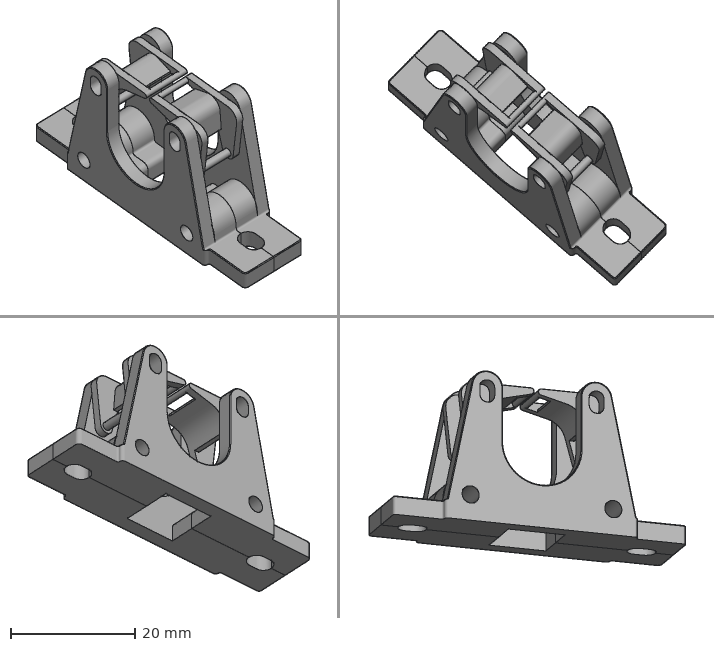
import cadquery as cq
import math

LENGTH = 49.8
WIDTH = 14.55
WALL = 2.6
FOOT_HALF = 16.45
FOOT_CORNER = 0.6
FOOT_FILLET = 0.4
EDGE_CHAMFER = 0.15
TOUCH_TOLERANCE = 4.98e-05

TAB_WIDTH = 12.6
TAB_HEIGHT = 3.15
FRONT_TAB_CORNER = 0.75
BACK_TAB_CORNER = 0.5
TAB_ROOT_FILLET = 0.35
TAB_SLOT_X = 19.5
TAB_SLOT_LENGTH = 4.8
TAB_SLOT_WIDTH = 3.35

EAR_X = 9.3
EAR_Z = 22.75
EAR_RADIUS = 2.65
EAR_SLOT_Z = 22.0
EAR_SLOT_WIDTH = 2.55
EAR_SLOT_HEIGHT = 3.75
THROAT_Z = 13.85

BOSS_X = 12.15
BOSS_Z = 4.35
BOSS_RADIUS = 3.8
BOSS_HOLE_DIAMETER = 2.9
LEDGE_Z = 3.7
LEDGE_FILLET = 0.5
LEDGE_NOSE_X = 5.95
LEDGE_NOSE_RADIUS = 1.15

LATCH_WIDTH = 8.95
LATCH_PLATE = 1.35
LATCH_TOP_Z = 24.2
HEEL_X = 10.65
HEEL_RADIUS = 2.1
TIP_X = 0.9
TIP_ROD_DIAMETER = 1.05
TAIL_Z = 14.5
TAIL_RADIUS = 1.25
TAIL_ROD_DIAMETER = 1.45
CROOK_X = 4.2
CROOK_Z = 18.2
CROOK_RADIUS = 4.0

BLOCK_BACK_X = 9.1
BLOCK_BOTTOM_Z = 18.4
BLOCK_CREST_X = 6.6
BLOCK_CREST_Z = 21.95
BLOCK_CREST_RADIUS = 2.2
BLOCK_NOSE_X = 2.9
BLOCK_NOSE_Z = 23.05

THROAT_RADIUS = EAR_X - EAR_RADIUS
WALL_INNER_Y = WIDTH / 2 - WALL
TAB_SIDE_Y = TAB_WIDTH / 2
TIP_RADIUS = TIP_ROD_DIAMETER / 2
LATCH_INNER_WIDTH = LATCH_WIDTH - 2 * LATCH_PLATE


def tangent_angle(first, second):
    """Angle of the normal of the line that touches two signed circles."""
    x1, z1, r1 = first
    x2, z2, r2 = second
    dx = x2 - x1
    dz = z2 - z1
    return math.atan2(dz, dx) + math.acos(max(-1, min(1, (r1 - r2) / math.hypot(dx, dz))))


def point_on(circle, angle):
    x, z, r = circle
    return (x + r * math.cos(angle), z + r * math.sin(angle))


def belt(circles, y):
    """Closed XZ outline at the given y, run clockwise around (x, z, radius) circles.

    A positive radius rounds an outer corner, a negative one a hollow, zero is a sharp corner.
    """
    count = len(circles)
    normals = [tangent_angle(circles[i], circles[(i + 1) % count]) for i in range(count)]
    outline = cq.Workplane("XZ", origin=(0, y, 0)).moveTo(*point_on(circles[0], normals[0]))
    for i in range(1, count + 1):
        circle = circles[i % count]
        arrive = normals[i - 1]
        leave = normals[i % count]
        turn = -1 if circle[2] > 0 else 1
        sweep = turn * ((turn * (leave - arrive)) % (2 * math.pi))
        line_start = point_on(circles[i - 1], arrive)
        line_end = point_on(circle, arrive)
        if math.dist(line_start, line_end) > TOUCH_TOLERANCE:
            outline = outline.lineTo(*line_end)
        if circle[2] != 0:
            outline = outline.threePointArc(point_on(circle, arrive + sweep / 2), point_on(circle, leave))
    return outline.close()


def mirrored(body, plane):
    return body.union(body.mirror(plane))


def side_wall():
    """Front wall with two ears and a U-shaped opening, chamfered along its outer face."""
    outline = [
        (-FOOT_HALF, 0, 0),
        (-FOOT_HALF, TAB_HEIGHT, 0),
        (-FOOT_HALF, TAB_HEIGHT + FOOT_FILLET, -FOOT_FILLET),
        (-EAR_X, EAR_Z, EAR_RADIUS),
        (0, THROAT_Z, -THROAT_RADIUS),
        (EAR_X, EAR_Z, EAR_RADIUS),
        (FOOT_HALF, TAB_HEIGHT + FOOT_FILLET, -FOOT_FILLET),
        (FOOT_HALF, TAB_HEIGHT, 0),
        (FOOT_HALF, 0, 0),
    ]
    wall = belt(outline, -WALL_INNER_Y).extrude(WALL)
    wall = wall.faces("<Y").edges("not <Z").chamfer(EDGE_CHAMFER)
    footprint = (
        cq.Workplane("XY").box(2 * FOOT_HALF, WIDTH, 2 * (EAR_Z + EAR_RADIUS)).edges("|Z").fillet(FOOT_CORNER)
    )
    return wall.intersect(footprint)


def boss_block():
    """Half of the left end block: a boss that falls to a ledge with a rounded nose."""
    fillet_z = LEDGE_Z + LEDGE_FILLET
    fillet_reach = math.sqrt((BOSS_RADIUS + LEDGE_FILLET) ** 2 - (BOSS_Z - fillet_z) ** 2)
    outline = [
        (-FOOT_HALF, 0, 0),
        (-FOOT_HALF, TAB_HEIGHT, 0),
        (-FOOT_HALF, TAB_HEIGHT + FOOT_FILLET, -FOOT_FILLET),
        (-BOSS_X, BOSS_Z, BOSS_RADIUS),
        (-BOSS_X + fillet_reach, fillet_z, -LEDGE_FILLET),
        (-LEDGE_NOSE_X, LEDGE_Z - LEDGE_NOSE_RADIUS, LEDGE_NOSE_RADIUS),
        (-LEDGE_NOSE_X + LEDGE_NOSE_RADIUS, 0, 0),
    ]
    return belt(outline, 0).extrude(WALL_INNER_Y)


def tab(corner):
    """Half of the left mounting tab, its side flaring into the foot."""
    flare = TAB_ROOT_FILLET
    flare_middle = flare * (1 - math.sqrt(0.5))
    plate = (
        cq.Workplane("XY")
        .moveTo(-FOOT_HALF, 0)
        .lineTo(-FOOT_HALF, -TAB_SIDE_Y - flare)
        .threePointArc(
            (-FOOT_HALF - flare_middle, -TAB_SIDE_Y - flare_middle),
            (-FOOT_HALF - flare, -TAB_SIDE_Y),
        )
        .lineTo(-LENGTH / 2, -TAB_SIDE_Y)
        .lineTo(-LENGTH / 2, 0)
        .close()
        .extrude(TAB_HEIGHT)
    )
    plate = plate.faces("<X").edges("|Z and <Y").fillet(corner)
    return plate.faces(">Z").edges("not (>X or >Y)").chamfer(EDGE_CHAMFER)


def bracket_half(tab_corner):
    """Front half of the bracket, its tab corners rounded to the given radius."""
    half = side_wall().union(mirrored(boss_block().union(tab(tab_corner)), "YZ"))
    ear_slot = (
        cq.Workplane("XZ")
        .pushPoints([(-EAR_X, EAR_SLOT_Z), (EAR_X, EAR_SLOT_Z)])
        .slot2D(EAR_SLOT_HEIGHT, EAR_SLOT_WIDTH, 90)
        .extrude(WIDTH / 2)
    )
    boss_hole = (
        cq.Workplane("XZ")
        .pushPoints([(-BOSS_X, BOSS_Z), (BOSS_X, BOSS_Z)])
        .circle(BOSS_HOLE_DIAMETER / 2)
        .extrude(WIDTH / 2)
    )
    tab_slot = (
        cq.Workplane("XY")
        .pushPoints([(-TAB_SLOT_X, 0), (TAB_SLOT_X, 0)])
        .slot2D(TAB_SLOT_LENGTH, TAB_SLOT_WIDTH)
        .extrude(TAB_HEIGHT)
    )
    return half.cut(ear_slot).cut(boss_hole).cut(tab_slot)


HEEL = (-HEEL_X, LATCH_TOP_Z - HEEL_RADIUS, HEEL_RADIUS)
TIP = (-TIP_X, LATCH_TOP_Z - TIP_RADIUS, TIP_RADIUS)
CROOK = (-CROOK_X, CROOK_Z, -CROOK_RADIUS)
TAIL = (-HEEL_X, TAIL_Z, TAIL_RADIUS)


def latch_block():
    """Block between the plates, trimmed below to the jaw and arm outline."""
    outline = [
        (-BLOCK_BACK_X, BLOCK_BOTTOM_Z, 0),
        (-BLOCK_CREST_X, BLOCK_CREST_Z, BLOCK_CREST_RADIUS),
        (-BLOCK_NOSE_X, BLOCK_NOSE_Z, 0),
        (-BLOCK_NOSE_X, BLOCK_BOTTOM_Z, 0),
    ]
    block = belt(outline, LATCH_INNER_WIDTH / 2).extrude(LATCH_INNER_WIDTH)
    silhouette = belt([HEEL, TIP, CROOK, TAIL], LATCH_INNER_WIDTH / 2).extrude(LATCH_INNER_WIDTH)
    return block.intersect(silhouette)


def rod(x, z, diameter):
    """Rod along Y between the plates, its seam turned to the inside of the latch."""
    start = cq.Workplane(cq.Plane((x, LATCH_INNER_WIDTH / 2, z), (-1, 0, 0), (0, -1, 0)))
    return start.circle(diameter / 2).extrude(LATCH_INNER_WIDTH)


def latch():
    """Left latch, its jaw pointing to the middle of the bracket."""
    plates = mirrored(belt([HEEL, TIP, CROOK, TAIL], -LATCH_INNER_WIDTH / 2).extrude(LATCH_PLATE), "XZ")
    tip_rod = rod(TIP[0], TIP[1], TIP_ROD_DIAMETER)
    tail_rod = rod(TAIL[0], TAIL[1], TAIL_ROD_DIAMETER)
    return plates.union(latch_block()).union(tip_rod).union(tail_rod)


front_half = bracket_half(FRONT_TAB_CORNER)
back_half = bracket_half(BACK_TAB_CORNER).mirror("XZ")
left_latch = latch()
right_latch = left_latch.mirror("YZ")

result = cq.Compound.makeCompound(
    [front_half.val(), back_half.val(), left_latch.val(), right_latch.val()]
)